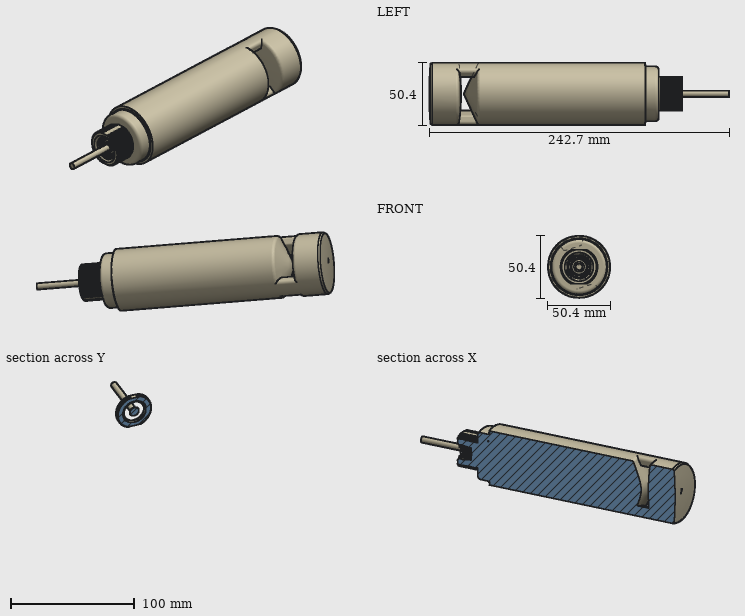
import cadquery as cq
import math

length = 242.7
body_radius = 25.2

outside_radius = 2 * body_radius

dome_height = 1.0
head_rim_radius = 24.3
head_edge_station = 2.7

head_bottom = 24.0
head_bulge = 2.0
cone_tip = 28.0
cone_rim = 39.5
window_fillet = 2.7

leg_direction = 108.0
leg_half_angle = 24.5
leg_inner_offset = 16.3
leg_inner_fillet = 1.7

body_end = 174.7
lip_radius = 23.0
lip_end = 175.5
collar_radius = 22.3
collar_end = 186.0
collar_fillet = 3.0

thread_end = 204.8
thread_radius = 15.0
thread_root_radius = 14.0
thread_pitch = 1.5
thread_count = 12
flat_offset = 13.8

bore_radius = 8.7
bore_groove_radius = 10.7
bore_thread_count = 9
bore_relief = 1.2
countersink_radius = 11.6
countersink_depth = 2.5
gland_radius = 7.3
gland_chamfer = 1.2
gland_length = 8.7
sleeve_radius = 4.1
sleeve_length = 10.7
cable_radius = 2.7


def along_y(station):
    """Y coordinate of a station; the part is centred on the origin."""
    return length / 2 - station


def disc(radius, start, end):
    """Cylinder on the part axis between two stations."""
    plane = cq.Workplane("XZ", origin=(0, along_y(start), 0))
    return plane.circle(radius).extrude(end - start)


def profile_at(radius, station):
    """Start a profile that will be turned about the Y axis."""
    return cq.Workplane("XY").moveTo(radius, along_y(station))


def revolve_profile(profile):
    """Turn a closed (radius, Y) profile about the Y axis, with the seam in line with a leg."""
    solid = profile.close().revolve(360, (0, 0, 0), (0, 1, 0))
    return solid.rotate((0, 0, 0), (0, 1, 0), -leg_direction)


def housing():
    """Head and body as one bar with a domed end and a bevelled edge."""
    dome_middle = (head_rim_radius / 2, along_y(dome_height / 4))
    profile = (
        profile_at(0, body_end)
        .lineTo(0, along_y(0))
        .threePointArc(dome_middle, (head_rim_radius, along_y(dome_height)))
        .lineTo(body_radius, along_y(head_edge_station))
        .lineTo(body_radius, along_y(body_end))
    )
    return revolve_profile(profile)


def leg_blank(direction):
    """Leg between radial sides with a flat, round-edged inner face; it runs past the body surface."""
    tangent = math.tan(math.radians(leg_half_angle))
    far = outside_radius
    blank = (
        cq.Workplane("XZ", origin=(0, along_y(0), 0))
        .moveTo(leg_inner_offset, -leg_inner_offset * tangent)
        .lineTo(far, -far * tangent)
        .lineTo(far, far * tangent)
        .lineTo(leg_inner_offset, leg_inner_offset * tangent)
        .close()
        .extrude(2 * cone_rim)
    )
    blank = blank.edges("|Y").edges("<X").fillet(leg_inner_fillet)
    return blank.rotate((0, 0, 0), (0, 1, 0), -direction)


def window_space():
    """Space between the bulging underside of the head and the conical top of the body, less the legs."""
    slope = (cone_rim - cone_tip) / body_radius
    far = outside_radius
    bulge_middle = (body_radius / 2, along_y(head_bottom + 0.75 * head_bulge))
    profile = (
        profile_at(0, head_bottom + head_bulge)
        .threePointArc(bulge_middle, (body_radius, along_y(head_bottom)))
        .lineTo(far, along_y(head_bottom))
        .lineTo(far, along_y(cone_tip + slope * far))
        .lineTo(0, along_y(cone_tip))
    )
    space = revolve_profile(profile)
    for turn in (0, 180):
        space = space.cut(leg_blank(leg_direction + turn))
    return space


def housing_with_windows():
    """Cut the windows and round their outer edges."""
    cut_housing = housing().cut(window_space())
    margin = 0.02
    zone = along_y((head_bottom + cone_rim) / 2)
    zone_half = (cone_rim - head_bottom) / 2 + margin
    rims = [
        edge
        for edge in cut_housing.edges().vals()
        if abs(edge.Center().y - zone) < zone_half
        and all(
            abs(math.hypot(point.x, point.z) - body_radius) < margin
            for point in (edge.positionAt(share) for share in (0, 0.5, 1))
        )
    ]
    return cut_housing.newObject(rims).fillet(window_fillet)


def collar():
    """Thin lip under the body, then a collar with a rounded lower edge."""
    lip = disc(lip_radius, body_end, lip_end)
    ring = disc(collar_radius, lip_end, collar_end).faces("<Y").edges().fillet(collar_fillet)
    return lip.union(ring)


def ridged_rod(root_radius, crest_radius, start, count):
    """Rod from a station to the spigot end whose last stretch carries V-shaped rings."""
    first_ridge = thread_end - count * thread_pitch
    profile = profile_at(0, start).lineTo(root_radius, along_y(start))
    for turn in range(count):
        root = first_ridge + turn * thread_pitch
        profile = profile.lineTo(root_radius, along_y(root))
        profile = profile.lineTo(crest_radius, along_y(root + thread_pitch / 2))
    profile = profile.lineTo(root_radius, along_y(thread_end)).lineTo(0, along_y(thread_end))
    return revolve_profile(profile)


def spigot():
    """Threaded spigot with flats on the +Z and -Z sides and a threaded bore around the gland."""
    outside = ridged_rod(thread_root_radius, thread_radius, collar_end, thread_count)
    slab = cq.Workplane("XY").box(length, 2 * length, 2 * flat_offset)
    floor = thread_end - bore_thread_count * thread_pitch - bore_relief
    bore = ridged_rod(bore_radius, bore_groove_radius, floor, bore_thread_count)
    mouth = revolve_profile(
        profile_at(0, thread_end - countersink_depth)
        .lineTo(bore_radius, along_y(thread_end - countersink_depth))
        .lineTo(countersink_radius, along_y(thread_end))
        .lineTo(0, along_y(thread_end))
    )
    gland = disc(gland_radius, floor, floor + gland_length).faces("<Y").edges().chamfer(gland_chamfer)
    sleeve = disc(sleeve_radius, floor, floor + sleeve_length)
    cable = disc(cable_radius, floor, length)
    return outside.intersect(slab).cut(bore).cut(mouth).union(gland).union(sleeve).union(cable)


result = housing_with_windows().union(collar()).union(spigot())